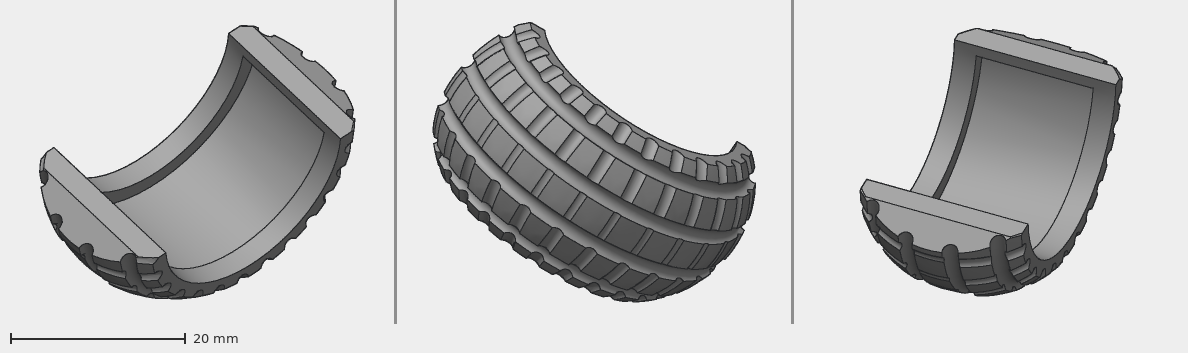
import cadquery as cq
import math

WIDTH = 20.0
BORE_RADIUS = 13.0
TOP_Z = -0.6

CROWN_PEAK_RADIUS = 19.44
CROWN_ARC_RADIUS = 13.4

SHOULDER_START_Y = 15.8
SHOULDER_END_Y = 19.235
SHOULDER_END_Z = -math.sqrt(CROWN_PEAK_RADIUS**2 - SHOULDER_END_Y**2)

GROOVE_RADIUS = 0.95

INNER_RING_GROOVE_ANGLE = 12.0
OUTER_RING_GROOVE_ANGLE = 36.0

CROSS_GROOVE_LIFT = 0.56
CROSS_GROOVE_HALF_SPAN = 65.0
CROSS_GROOVE_PITCH = 13.8
CROSS_GROOVE_COUNT = 14
FIRST_CROSS_GROOVE_ANGLE = 1.2

BAND_DROP = 0.26
BAND_HALF_WIDTH = CROWN_ARC_RADIUS * math.sin(math.radians(INNER_RING_GROOVE_ANGLE))
BAND_FIRST_GROOVE = 1
BAND_LAST_GROOVE = 12

RECESS_RADIUS = 15.0
RECESS_WIDTH = 14.5
RECESS_TOP_Z = -2.0

CUT_MARGIN = 5.0


def crown_radius(x):
    """Distance from the ring axis to the crown at a given X."""
    arc_center = CROWN_PEAK_RADIUS - CROWN_ARC_RADIUS
    return arc_center + math.sqrt(CROWN_ARC_RADIUS**2 - x**2)


def cross_groove_angle(index):
    return FIRST_CROSS_GROOVE_ANGLE + index * CROSS_GROOVE_PITCH


def revolve_about_x(profile, degrees=360.0):
    return profile.revolve(degrees, (0, 0, 0), (1, 0, 0))


def turn_about_x(body, degrees):
    return body.rotate((0, 0, 0), (1, 0, 0), degrees)


def barrel():
    side = WIDTH / 2
    profile = (
        cq.Workplane("XY")
        .moveTo(-side, BORE_RADIUS)
        .lineTo(-side, crown_radius(side))
        .threePointArc((0, CROWN_PEAK_RADIUS), (side, crown_radius(side)))
        .lineTo(side, BORE_RADIUS)
        .close()
    )
    return revolve_about_x(profile)


def lower_envelope():
    """Everything below the flat end faces and the sloping shoulders."""
    slope = (SHOULDER_END_Z - TOP_Z) / (SHOULDER_END_Y - SHOULDER_START_Y)
    outer_y = SHOULDER_END_Y + CUT_MARGIN
    outer_z = TOP_Z + slope * (outer_y - SHOULDER_START_Y)
    bottom_z = -CROWN_PEAK_RADIUS - CUT_MARGIN
    outline = [
        (-SHOULDER_START_Y, TOP_Z),
        (SHOULDER_START_Y, TOP_Z),
        (outer_y, outer_z),
        (outer_y, bottom_z),
        (-outer_y, bottom_z),
        (-outer_y, outer_z),
    ]
    return cq.Workplane("YZ").polyline(outline).close().extrude(WIDTH, both=True)


def bore_recess():
    """Circular segment below the flat top of the recess."""
    half_chord = math.sqrt(RECESS_RADIUS**2 - RECESS_TOP_Z**2)
    return (
        cq.Workplane("YZ")
        .moveTo(-half_chord, RECESS_TOP_Z)
        .threePointArc((0, -RECESS_RADIUS), (half_chord, RECESS_TOP_Z))
        .close()
        .extrude(RECESS_WIDTH / 2, both=True)
    )


def center_band_cut():
    edge_radius = crown_radius(BAND_HALF_WIDTH) - BAND_DROP
    middle_radius = CROWN_PEAK_RADIUS - BAND_DROP
    outer_radius = CROWN_PEAK_RADIUS + CUT_MARGIN
    profile = (
        cq.Workplane("XY")
        .moveTo(-BAND_HALF_WIDTH, -edge_radius)
        .threePointArc((0, -middle_radius), (BAND_HALF_WIDTH, -edge_radius))
        .lineTo(BAND_HALF_WIDTH, -outer_radius)
        .lineTo(-BAND_HALF_WIDTH, -outer_radius)
        .close()
    )
    start = cross_groove_angle(BAND_FIRST_GROOVE)
    end = cross_groove_angle(BAND_LAST_GROOVE)
    return turn_about_x(revolve_about_x(profile, end - start), start)


def ring_groove(arc_angle):
    x = CROWN_ARC_RADIUS * math.sin(math.radians(arc_angle))
    profile = cq.Workplane("XY").moveTo(x, crown_radius(x)).circle(GROOVE_RADIUS)
    return revolve_about_x(profile)


def cross_groove(turn_angle):
    peak_radius = CROWN_PEAK_RADIUS + CROSS_GROOVE_LIFT
    arc_center = peak_radius - CROWN_ARC_RADIUS
    section_plane = cq.Plane(origin=(0, 0, 0), xDir=(0, -1, 0), normal=(1, 0, 0))
    tube = (
        cq.Workplane(section_plane)
        .moveTo(peak_radius, 0)
        .circle(GROOVE_RADIUS)
        .revolve(2 * CROSS_GROOVE_HALF_SPAN, (arc_center, 0, 0), (arc_center, 1, 0))
        .rotate((0, -arc_center, 0), (0, -arc_center, -1), -CROSS_GROOVE_HALF_SPAN)
    )
    return turn_about_x(tube, turn_angle)


body = barrel().intersect(lower_envelope())
body = body.cut(bore_recess()).cut(center_band_cut())

for arc_angle in (INNER_RING_GROOVE_ANGLE, OUTER_RING_GROOVE_ANGLE):
    body = body.cut(ring_groove(arc_angle)).cut(ring_groove(-arc_angle))

cross_grooves = [cross_groove(cross_groove_angle(i)).val() for i in range(CROSS_GROOVE_COUNT)]
result = cq.Workplane(body.val().cut(*cross_grooves)).solids()